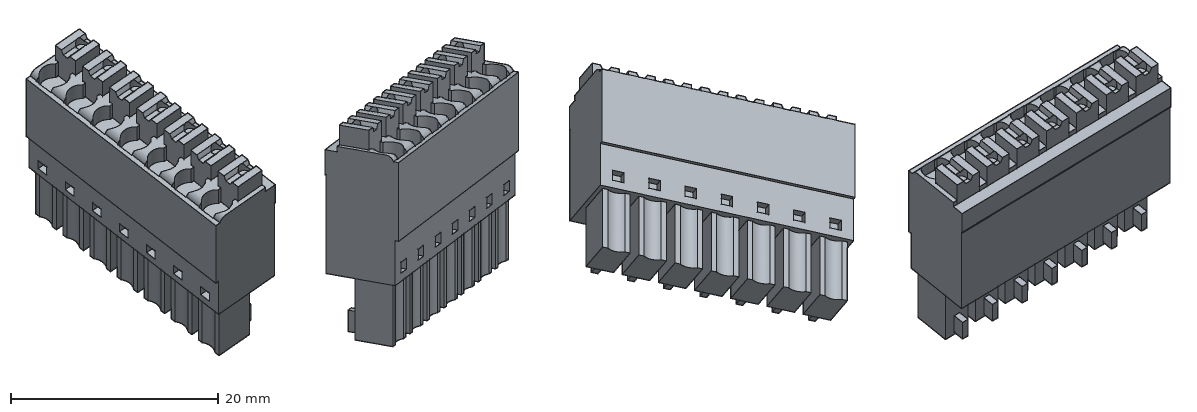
import cadquery as cq


pole_count = 7
pitch = 3.81
length = pole_count * pitch
pole_centres = [(i - (pole_count - 1) / 2) * pitch for i in range(pole_count)]

total_height = 22.0
body_bottom = 6.57
front_step_z = 11.23
back_step_z = 16.8
ledge_z = 19.4
ridge_top = 19.96

depth = 7.9
front_step = 0.36
back_step = 0.1
front_wall = 0.48
ridge_back = 6.6
ridge_radius = 0.9

lever_width = 2.83
lever_front = 3.42
notch_top_width = 1.15
notch_bottom_width = 0.6
notch_depth = 0.5
tool_hole_diameter = 1.2
tool_hole_y = 5.6
tool_hole_depth = 1.0

entry_radius = 1.5
entry_y = 1.95
entry_slot_width = 2.0
entry_floor = 18.0

window_width = 1.2
window_height = 1.12
window_bottom = 7.42
window_depth = 0.8

finger_width = 2.9
finger_front = 0.84
finger_back = 4.92
groove_width = 1.8
groove_sagitta = 0.3

tab_width = 0.7
tab_back = 6.16
tab_bottom = 0.28
tab_top = 2.51


def block(width, y_range, z_range, x=0):
    """Box centred on x, spanning the given Y and Z ranges."""
    y0, y1 = y_range
    z0, z1 = z_range
    box = cq.Workplane("XY").box(width, y1 - y0, z1 - z0, centered=(True, False, False))
    return box.translate((x, y0, z0))


def make_body():
    """Stepped block with a raised ridge whose front edge is rounded."""
    upper = block(length, (0, depth), (front_step_z, ledge_z))
    lower = block(length, (front_step, depth), (body_bottom, front_step_z))
    ridge = block(length, (front_wall, ridge_back), (front_step_z, ridge_top))
    ridge = ridge.edges("|X and >Z and <Y").fillet(ridge_radius)
    back_relief = block(length, (depth - back_step, depth), (body_bottom, back_step_z))
    return upper.union(lower).union(ridge).cut(back_relief)


def make_finger(x):
    """Plug finger with an arched groove down its front and a coding tab on its back."""
    half_groove = groove_width / 2
    finger = (
        cq.Workplane("XY")
        .moveTo(-finger_width / 2, finger_front)
        .lineTo(-half_groove, finger_front)
        .threePointArc((0, finger_front + groove_sagitta), (half_groove, finger_front))
        .lineTo(finger_width / 2, finger_front)
        .lineTo(finger_width / 2, finger_back)
        .lineTo(-finger_width / 2, finger_back)
        .close()
        .extrude(body_bottom)
    )
    tab = block(tab_width, (finger_back, tab_back), (tab_bottom, tab_top))
    return finger.union(tab).translate((x, 0, 0))


def make_entry_cut(x):
    """Round wire entry with a straight slot reaching the front wall and the lever."""
    bore = (
        cq.Workplane("XY", origin=(x, entry_y, entry_floor))
        .circle(entry_radius)
        .extrude(ridge_top - entry_floor)
    )
    slot = block(entry_slot_width, (front_wall, lever_front), (entry_floor, ridge_top), x)
    return bore.union(slot)


def make_lever_block(x):
    """Plain outline of a lever, which is also the shape of its pocket."""
    return block(lever_width, (lever_front, ridge_back), (entry_floor, total_height), x)


def make_window_cut(x):
    """Shallow rectangular test window in the lower front face."""
    y_range = (front_step, front_step + window_depth)
    return block(window_width, y_range, (window_bottom, window_bottom + window_height), x)


def make_lever(x):
    """Release lever with a tapered notch along its top and a blind tool hole."""
    notch_floor = total_height - notch_depth
    notch = (
        cq.Workplane("XZ", origin=(x, ridge_back, 0))
        .moveTo(-notch_top_width / 2, total_height)
        .lineTo(-notch_bottom_width / 2, notch_floor)
        .lineTo(notch_bottom_width / 2, notch_floor)
        .lineTo(notch_top_width / 2, total_height)
        .close()
        .extrude(ridge_back - lever_front)
    )
    tool_hole = (
        cq.Workplane("XY", origin=(x, tool_hole_y, total_height))
        .circle(tool_hole_diameter / 2)
        .extrude(-tool_hole_depth)
    )
    return make_lever_block(x).cut(notch).cut(tool_hole)


def make_housing():
    """Housing with its fingers, lever pockets, wire entries and test windows."""
    housing = make_body()
    for x in pole_centres:
        housing = housing.union(make_finger(x))
        housing = housing.cut(make_lever_block(x))
        housing = housing.cut(make_entry_cut(x))
        housing = housing.cut(make_window_cut(x))
    return housing


housing = make_housing()
levers = [make_lever(x) for x in pole_centres]

result = cq.Compound.makeCompound([housing.val(), *[lever.val() for lever in levers]])